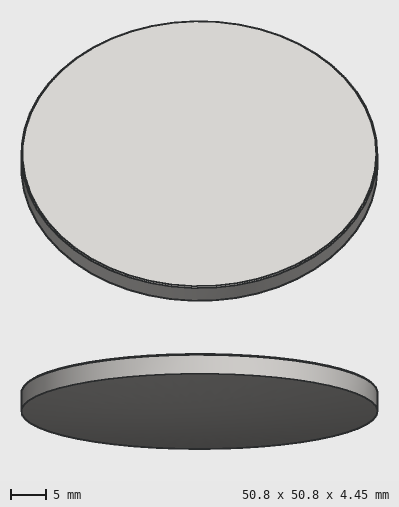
import cadquery as cq
import math

diameter = 50.8
thickness = 4.45
dome_height = 1.5
bevel = 0.2

radius = diameter / 2
flat_radius = radius - bevel

sphere_radius = (radius**2 + dome_height**2) / (2 * dome_height)
mid_radius = radius / 2
mid_height = sphere_radius - math.sqrt(sphere_radius**2 - mid_radius**2)

half_section = (
    cq.Workplane("XZ")
    .moveTo(0, 0)
    .threePointArc((mid_radius, mid_height), (radius, dome_height))
    .lineTo(radius, thickness - bevel)
    .lineTo(flat_radius, thickness)
    .lineTo(0, thickness)
    .close()
)
result = half_section.revolve(360, (0, 0), (0, 1))